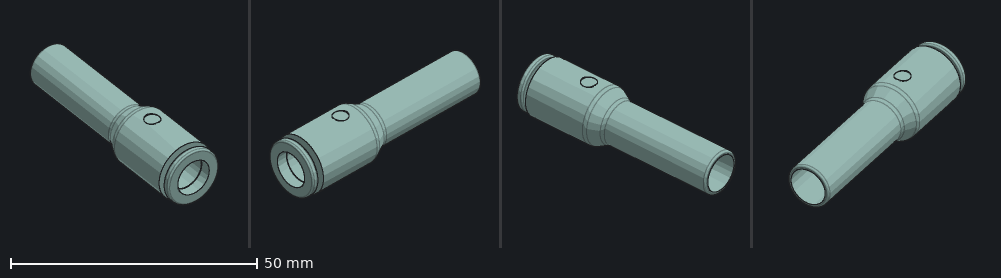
import cadquery as cq
import math

total_length = 48.8
stem_radius = 5.0
stem_bore_radius = 4.15
stem_end_rounding = 0.5

body_radius = 6.75
body_end_x = 46.1
cone_start_x = 27.2
cone_end_x = 30.55
stem_to_cone_blend = 2.0
cone_to_body_blend = 2.0

neck_radius = 4.6
sleeve_bore_radius = 4.0
collar_radius = 6.5
collar_width = 1.6
collar_rounding = 0.4

recess_radius = 1.75
recess_center_x = 34.9
recess_floor_z = 6.5


def cylinder(radius, start_x, end_x):
    """Solid round bar along X between two stations."""
    return cq.Workplane("YZ", origin=(start_x, 0, 0)).circle(radius).extrude(end_x - start_x)


def make_stem_and_body():
    """Stem, conical shoulder and body, with the shoulder blended at both ends."""
    shoulder_angle = math.atan2(body_radius - stem_radius, cone_end_x - cone_start_x)
    cos_a = math.cos(shoulder_angle)
    sin_a = math.sin(shoulder_angle)
    cos_half = math.cos(shoulder_angle / 2)
    sin_half = math.sin(shoulder_angle / 2)

    foot_setback = stem_to_cone_blend * math.tan(shoulder_angle / 2)
    foot_start_x = cone_start_x - foot_setback
    foot_center_r = stem_radius + stem_to_cone_blend
    foot_mid = (foot_start_x + stem_to_cone_blend * sin_half, foot_center_r - stem_to_cone_blend * cos_half)
    foot_end = (foot_start_x + stem_to_cone_blend * sin_a, foot_center_r - stem_to_cone_blend * cos_a)

    top_setback = cone_to_body_blend * math.tan(shoulder_angle / 2)
    top_end_x = cone_end_x + top_setback
    top_center_r = body_radius - cone_to_body_blend
    top_start = (top_end_x - cone_to_body_blend * sin_a, top_center_r + cone_to_body_blend * cos_a)
    top_mid = (top_end_x - cone_to_body_blend * sin_half, top_center_r + cone_to_body_blend * cos_half)

    end_center_r = stem_radius - stem_end_rounding
    diagonal = stem_end_rounding * math.sqrt(0.5)
    end_mid = (stem_end_rounding - diagonal, end_center_r + diagonal)

    profile = (
        cq.Workplane("XY")
        .moveTo(0, 0)
        .lineTo(0, end_center_r)
        .threePointArc(end_mid, (stem_end_rounding, stem_radius))
        .lineTo(foot_start_x, stem_radius)
        .threePointArc(foot_mid, foot_end)
        .lineTo(*top_start)
        .threePointArc(top_mid, (top_end_x, body_radius))
        .lineTo(body_end_x, body_radius)
        .lineTo(body_end_x, 0)
        .close()
    )
    return profile.revolve(360, (0, 0, 0), (1, 0, 0))


def make_release_sleeve():
    """Neck and rounded collar at the +X end."""
    collar_start_x = total_length - collar_width
    neck = cylinder(neck_radius, body_end_x, collar_start_x)
    collar = cylinder(collar_radius, collar_start_x, total_length).edges().fillet(collar_rounding)
    return neck.union(collar)


def make_bore():
    """Through bore: wide inside the stem and body, narrower inside the release sleeve."""
    stem_bore = cylinder(stem_bore_radius, 0, body_end_x)
    sleeve_bore = cylinder(sleeve_bore_radius, body_end_x, total_length)
    return stem_bore.union(sleeve_bore)


def make_recess():
    """Shallow round recess with a flat floor on top of the body."""
    return (
        cq.Workplane("XY", origin=(recess_center_x, 0, recess_floor_z))
        .circle(recess_radius)
        .extrude(body_radius - recess_floor_z)
    )


result = make_stem_and_body().union(make_release_sleeve()).cut(make_bore()).cut(make_recess())